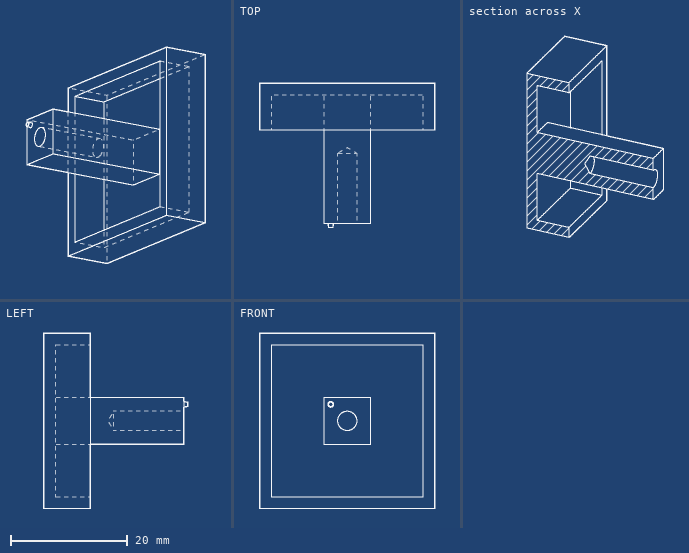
import cadquery as cq

cup_side = 30.0
cup_depth = 8.0
rim_width = 2.0
pocket_depth = 6.0

post_side = 8.0
post_overhang = 16.0
post_length = pocket_depth + post_overhang

hole_diameter = 3.3
hole_depth = 12.0
hole_cone_depth = 1.0

pin_base_diameter = 1.0
pin_height = 0.7
pin_tip_diameter = 0.75
pin_offset = 2.82

post_end_y = -post_overhang


def square_block(side, start_y, length):
    """Square bar centred on the Y axis, running from start_y towards +Y."""
    return cq.Workplane("XY").box(side, length, side).translate((0, start_y + length / 2, 0))


def make_cup():
    pocket_side = cup_side - 2 * rim_width
    return square_block(cup_side, 0, cup_depth).cut(square_block(pocket_side, 0, pocket_depth))


def make_hole():
    radius = hole_diameter / 2
    wall_end_y = post_end_y + hole_depth
    return (
        cq.Workplane("XY")
        .moveTo(0, post_end_y)
        .lineTo(radius, post_end_y)
        .lineTo(radius, wall_end_y)
        .lineTo(0, wall_end_y + hole_cone_depth)
        .close()
        .revolve(360, (0, 0, 0), (0, 1, 0))
    )


def make_pin():
    return (
        cq.Workplane("XZ", origin=(-pin_offset, post_end_y, pin_offset))
        .circle(pin_base_diameter / 2)
        .workplane(offset=pin_height)
        .circle(pin_tip_diameter / 2)
        .loft()
    )


post = square_block(post_side, post_end_y, post_length)
result = make_cup().union(post).cut(make_hole()).union(make_pin())